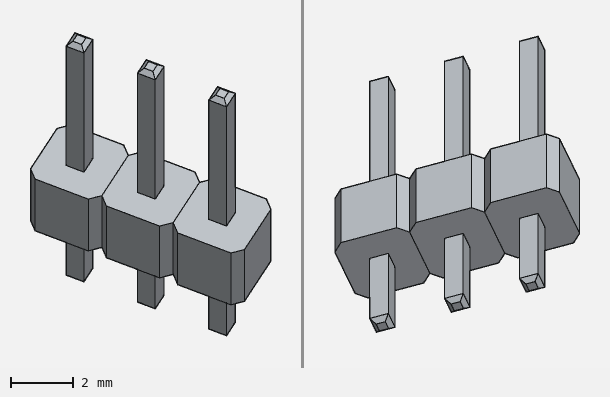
import cadquery as cq

position_count = 3
pitch = 2.54
block_height = 2.54
block_chamfer = 0.32
pin_side = 0.63
pin_below = 3.0
pin_above = 6.0
tip_chamfer = 0.16

pin_length = pin_below + block_height + pin_above


def make_block():
    """Square insulator block standing on Z = 0, with chamfered vertical edges."""
    block = cq.Workplane("XY").box(pitch, pitch, block_height, centered=(True, True, False))
    return block.edges("|Z").chamfer(block_chamfer)


def make_pin():
    """Square pin through the block, with both ends tapered."""
    pin = cq.Workplane("XY").box(pin_side, pin_side, pin_length, centered=(True, True, False))
    pin = pin.faces("<Z or >Z").edges().chamfer(tip_chamfer)
    return pin.translate((0, 0, -pin_below))


def make_header_position(center_x):
    """One header position: a block and its pin as a single solid."""
    return make_block().union(make_pin()).translate((center_x, 0, 0))


first_x = -pitch * (position_count - 1) / 2
header_positions = []
for index in range(position_count):
    header_positions.append(make_header_position(first_x + index * pitch))

result = cq.Compound.makeCompound([position.val() for position in header_positions])